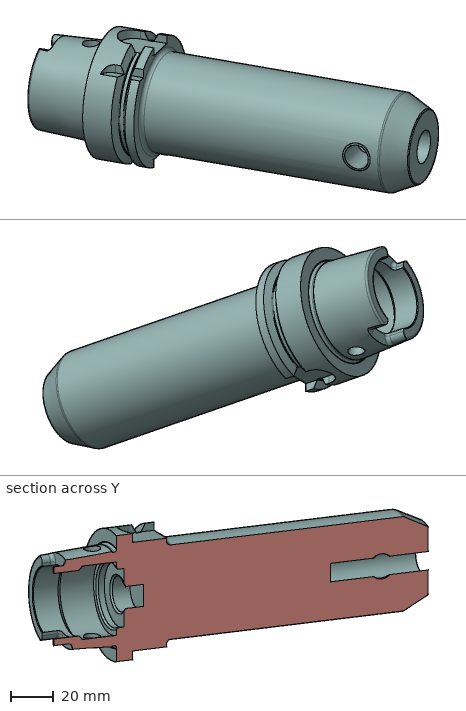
import cadquery as cq
import math

SHANK_LENGTH = 32.0
TAPER_RATIO = 0.1
GAUGE_RADIUS = 24.0
GAUGE_DISTANCE = 6.3
SHANK_TIP_ROUND = 1.0
RELIEF_LENGTH = 2.2
RELIEF_DEPTH = 0.4
RELIEF_ROUND = 1.1
RELIEF_FACE_DEPTH = 0.2
RELIEF_FACE_RADIUS = 25.3

FLANGE_RADIUS = 31.5
FLANGE_WIDTH = 26.0
GROOVE_CENTRE = 18.0
GROOVE_WIDTH = 7.0
GROOVE_FLOOR_RADIUS = 27.5
GROOVE_FILLET = 0.5
GROOVE_WALL_ANGLE = 30.0

BODY_RADIUS = 24.0
BODY_END = 160.0
NOSE_LENGTH = 12.7
NOSE_END_RADIUS = 18.1
NOSE_CHAMFER = 0.5
NOSE_ROUND = 2.0
FLANGE_FILLET = 2.0

MOUTH_RADIUS = 17.6
MOUTH_CHAMFER = 0.4
CLAMP_LIP_LENGTH = 13.0
CLAMP_RECESS_RADIUS = 19.0
CLAMP_RECESS_END = 0.0
REAR_BORE_RADIUS = 15.6
REAR_BORE_CHAMFER = 0.9
REAR_BORE_END = 4.0
COOLANT_RADIUS = 8.5
COOLANT_CHAMFER = 0.9
COOLANT_END = 14.0

TOOL_BORE_RADIUS = 8.0
TOOL_BORE_DEPTH = 50.0

SLOT_HALF_WIDTH = 6.2
SLOT_SHELF_HEIGHT = 20.6
SLOT_SHELF_HALF_WIDTH = 12.0
SLOT_EDGE_ROUND = 3.0
SLOT_END_ROUND = 1.8
UPPER_SLOT_DEPTH = 6.0
LOWER_SLOT_DEPTH = 9.6

KEYWAY_WIDTH = 15.6
KEYWAY_START = 4.8
KEYWAY_FLOOR = 26.5
NOTCH_FLOOR = 20.2
NOTCH_WALL = 20.0
NOTCH_TANGENT = 11.8
NOTCH_ROUND = 6.3

ACCESS_HOLE_X = -9.2
ACCESS_HOLE_RADIUS = 4.0
SCREW_HOLE_X = 136.0
SCREW_HOLE_RADIUS = 6.0
SCREW_RECESS_RADIUS = 7.0
SCREW_RECESS_DEPTH = 0.1

CLEARANCE = 5.0


def taper_radius(x):
    """Radius of the shank cone at axial position x."""
    return GAUGE_RADIUS - TAPER_RATIO / 2 * (-GAUGE_DISTANCE - x)


def make_body():
    """Turned outside shape: shank, flange and body, without the bores."""
    tip_radius = taper_radius(-SHANK_LENGTH)
    relief_radius = taper_radius(-RELIEF_LENGTH) - RELIEF_DEPTH

    wall_tilt = math.radians(GROOVE_WALL_ANGLE)
    wall_run = (FLANGE_RADIUS - GROOVE_FLOOR_RADIUS) * math.tan(wall_tilt)
    fillet_tangent = GROOVE_FILLET * math.tan((math.pi / 2 - wall_tilt) / 2)
    rim_half = GROOVE_WIDTH / 2
    corner_half = rim_half - wall_run
    floor_half = corner_half - fillet_tangent
    wall_half = corner_half + fillet_tangent * math.sin(wall_tilt)
    wall_radius = GROOVE_FLOOR_RADIUS + fillet_tangent * math.cos(wall_tilt)

    nose_start = BODY_END - NOSE_LENGTH
    nose_tilt = math.atan2(BODY_RADIUS - NOSE_END_RADIUS, NOSE_LENGTH - NOSE_CHAMFER)
    nose_tangent = NOSE_ROUND * math.tan(nose_tilt / 2)

    profile = (
        cq.Workplane("XY")
        .moveTo(-SHANK_LENGTH, 0)
        .lineTo(-SHANK_LENGTH, tip_radius - SHANK_TIP_ROUND)
        .radiusArc((-SHANK_LENGTH + SHANK_TIP_ROUND, tip_radius), SHANK_TIP_ROUND)
        .lineTo(-RELIEF_LENGTH, taper_radius(-RELIEF_LENGTH))
        .lineTo(-RELIEF_LENGTH + RELIEF_DEPTH, relief_radius)
        .lineTo(RELIEF_FACE_DEPTH - RELIEF_ROUND, relief_radius)
        .radiusArc((RELIEF_FACE_DEPTH, relief_radius + RELIEF_ROUND), -RELIEF_ROUND)
        .lineTo(0, RELIEF_FACE_RADIUS)
        .lineTo(0, FLANGE_RADIUS)
        .lineTo(GROOVE_CENTRE - rim_half, FLANGE_RADIUS)
        .lineTo(GROOVE_CENTRE - wall_half, wall_radius)
        .radiusArc((GROOVE_CENTRE - floor_half, GROOVE_FLOOR_RADIUS), -GROOVE_FILLET)
        .lineTo(GROOVE_CENTRE + floor_half, GROOVE_FLOOR_RADIUS)
        .radiusArc((GROOVE_CENTRE + wall_half, wall_radius), -GROOVE_FILLET)
        .lineTo(GROOVE_CENTRE + rim_half, FLANGE_RADIUS)
        .lineTo(FLANGE_WIDTH, FLANGE_RADIUS)
        .lineTo(FLANGE_WIDTH, BODY_RADIUS + FLANGE_FILLET)
        .radiusArc((FLANGE_WIDTH + FLANGE_FILLET, BODY_RADIUS), -FLANGE_FILLET)
        .lineTo(nose_start - nose_tangent, BODY_RADIUS)
        .radiusArc(
            (
                nose_start + nose_tangent * math.cos(nose_tilt),
                BODY_RADIUS - nose_tangent * math.sin(nose_tilt),
            ),
            NOSE_ROUND,
        )
        .lineTo(BODY_END - NOSE_CHAMFER, NOSE_END_RADIUS)
        .lineTo(BODY_END, NOSE_END_RADIUS - NOSE_CHAMFER)
        .lineTo(BODY_END, 0)
        .close()
    )
    return profile.revolve(360, (0, 0, 0), (1, 0, 0))


def make_clamping_bore():
    """Stepped clamping bore: chamfered mouth, lip, recess, rear bore and coolant hole."""
    lip_radius = MOUTH_RADIUS - MOUTH_CHAMFER
    lip_end = -SHANK_LENGTH + CLAMP_LIP_LENGTH
    recess_cone_end = lip_end + CLAMP_RECESS_RADIUS - lip_radius
    profile = (
        cq.Workplane("XY")
        .moveTo(-SHANK_LENGTH, 0)
        .lineTo(-SHANK_LENGTH, MOUTH_RADIUS)
        .lineTo(-SHANK_LENGTH + MOUTH_CHAMFER, lip_radius)
        .lineTo(lip_end, lip_radius)
        .lineTo(recess_cone_end, CLAMP_RECESS_RADIUS)
        .lineTo(CLAMP_RECESS_END, CLAMP_RECESS_RADIUS)
        .lineTo(CLAMP_RECESS_END, REAR_BORE_RADIUS + REAR_BORE_CHAMFER)
        .lineTo(CLAMP_RECESS_END + REAR_BORE_CHAMFER, REAR_BORE_RADIUS)
        .lineTo(REAR_BORE_END, REAR_BORE_RADIUS)
        .lineTo(REAR_BORE_END, COOLANT_RADIUS + COOLANT_CHAMFER)
        .lineTo(REAR_BORE_END + COOLANT_CHAMFER, COOLANT_RADIUS)
        .lineTo(COOLANT_END, COOLANT_RADIUS)
        .lineTo(COOLANT_END, 0)
        .close()
    )
    return profile.revolve(360, (0, 0, 0), (1, 0, 0))


def make_tool_bore():
    """Blind cylindrical bore for the tool shank, open at the nose."""
    return (
        cq.Workplane("YZ", origin=(BODY_END - TOOL_BORE_DEPTH, 0, 0))
        .circle(TOOL_BORE_RADIUS)
        .extrude(TOOL_BORE_DEPTH)
    )


def half_turn(cutter):
    """Copy of a cutter on the -Z side of the axis."""
    return cutter.rotate((0, 0, 0), (1, 0, 0), 180)


def make_drive_slot(depth):
    """Slot across the +Z wall of the shank tip, with rounded edges opening onto a flat shelf."""
    round_start = SLOT_SHELF_HEIGHT - SLOT_EDGE_ROUND
    round_end = SLOT_HALF_WIDTH + SLOT_EDGE_ROUND
    top = GAUGE_RADIUS + CLEARANCE
    slot = (
        cq.Workplane("YZ", origin=(-SHANK_LENGTH - CLEARANCE, 0, 0))
        .moveTo(-SLOT_HALF_WIDTH, 0)
        .lineTo(-SLOT_HALF_WIDTH, round_start)
        .radiusArc((-round_end, SLOT_SHELF_HEIGHT), -SLOT_EDGE_ROUND)
        .lineTo(-SLOT_SHELF_HALF_WIDTH, SLOT_SHELF_HEIGHT)
        .lineTo(-SLOT_SHELF_HALF_WIDTH, top)
        .lineTo(SLOT_SHELF_HALF_WIDTH, top)
        .lineTo(SLOT_SHELF_HALF_WIDTH, SLOT_SHELF_HEIGHT)
        .lineTo(round_end, SLOT_SHELF_HEIGHT)
        .radiusArc((SLOT_HALF_WIDTH, round_start), -SLOT_EDGE_ROUND)
        .lineTo(SLOT_HALF_WIDTH, 0)
        .close()
        .extrude(CLEARANCE + depth)
    )
    return slot.faces(">X").edges().fillet(SLOT_END_ROUND)


def make_keyway():
    """Round-ended keyway across the +Z side of the flange, open toward the body."""
    half_width = KEYWAY_WIDTH / 2
    return (
        cq.Workplane("XY", origin=(0, 0, KEYWAY_FLOOR))
        .moveTo(FLANGE_WIDTH, -half_width)
        .lineTo(KEYWAY_START + half_width, -half_width)
        .radiusArc((KEYWAY_START + half_width, half_width), half_width)
        .lineTo(FLANGE_WIDTH, half_width)
        .close()
        .extrude(FLANGE_RADIUS - KEYWAY_FLOOR + CLEARANCE)
    )


def make_orientation_notch():
    """Corner notch on the -Y, +Z side of the flange with a milled round end."""
    outer = -FLANGE_RADIUS
    arc_start = NOTCH_TANGENT - NOTCH_ROUND
    return (
        cq.Workplane("XY", origin=(0, 0, NOTCH_FLOOR))
        .moveTo(FLANGE_WIDTH, -NOTCH_WALL)
        .lineTo(NOTCH_TANGENT, -NOTCH_WALL)
        .radiusArc((arc_start, -NOTCH_WALL - NOTCH_ROUND), -NOTCH_ROUND)
        .lineTo(arc_start, outer)
        .lineTo(FLANGE_WIDTH, outer)
        .close()
        .extrude(FLANGE_RADIUS - NOTCH_FLOOR)
    )


def make_access_hole():
    """Hole through both walls of the shank along Z."""
    half_length = GAUGE_RADIUS + CLEARANCE
    return (
        cq.Workplane("XY", origin=(ACCESS_HOLE_X, 0, -half_length))
        .circle(ACCESS_HOLE_RADIUS)
        .extrude(2 * half_length)
    )


def make_screw_cylinder(radius):
    """Cylinder of the given radius from the tool bore axis out past the -Y side."""
    return (
        cq.Workplane("XZ", origin=(SCREW_HOLE_X, 0, 0))
        .circle(radius)
        .extrude(BODY_RADIUS + CLEARANCE)
    )


def make_screw_hole():
    """Clamping screw hole into the tool bore, ringed by a shallow recess that follows the body."""
    recess_floor = (
        cq.Workplane("YZ")
        .circle(BODY_RADIUS - SCREW_RECESS_DEPTH)
        .extrude(BODY_END)
    )
    recess = make_screw_cylinder(SCREW_RECESS_RADIUS).cut(recess_floor)
    return make_screw_cylinder(SCREW_HOLE_RADIUS).union(recess)


keyway = make_keyway()
cutters = [
    make_clamping_bore(),
    make_tool_bore(),
    make_drive_slot(UPPER_SLOT_DEPTH),
    half_turn(make_drive_slot(LOWER_SLOT_DEPTH)),
    keyway,
    half_turn(keyway),
    make_orientation_notch(),
    make_access_hole(),
    make_screw_hole(),
]

result = make_body()
for cutter in cutters:
    result = result.cut(cutter)